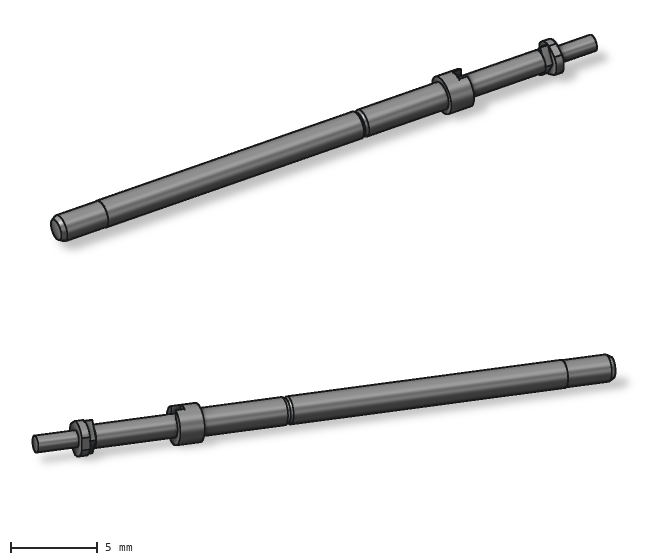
import cadquery as cq
import math

overall_length = 35.5
flange_start = 2.5
flange_end = 3.0
key_end = 3.5
collar_start = 8.5
collar_end = 10.0
groove_start = 15.25
groove_bottom = 15.45
groove_end = 15.6
tail_length = 3.0
tail_chamfer_length = 0.3

tip_diameter = 1.0
flange_diameter = 2.1
neck_diameter = 1.38
collar_diameter = 2.3
body_diameter = 1.65
groove_diameter = 1.47
tail_diameter = 1.6
tail_end_diameter = 1.25

flat_count = 3
flat_width = 0.75
first_flat_angle = 60.0

key_width = 1.26
key_tip_diameter = 2.05
key_side_slope = 60.0

notch_width = 0.75
notch_length = 0.55

tip_y = overall_length / 2
tail_start = overall_length - tail_length
chamfer_start = overall_length - tail_chamfer_length


def cross_section(start):
    """Workplane across the pin; extruding runs towards the tail, local axes follow X and Z."""
    return cq.Workplane("XZ", origin=(0, tip_y - start, 0))


def cylinder(start, end, diameter):
    return cross_section(start).circle(diameter / 2).extrude(end - start)


def make_flange():
    flange = cylinder(flange_start, flange_end, flange_diameter)
    flange_radius = flange_diameter / 2
    flat_distance = math.sqrt(flange_radius**2 - (flat_width / 2) ** 2)
    thickness = flange_end - flange_start
    for index in range(flat_count):
        angle = first_flat_angle + index * 360 / flat_count
        cutter = (
            cross_section(flange_start)
            .transformed(rotate=(0, 0, angle))
            .center(flat_distance + flange_radius / 2, 0)
            .rect(flange_radius, flange_diameter)
            .extrude(thickness)
        )
        flange = flange.cut(cutter)
    return flange


def make_key():
    """Diamond prism whose sharp top and bottom are rounded off to a common diameter."""
    half_width = key_width / 2
    half_height = half_width * math.tan(math.radians(key_side_slope))
    corners = [(half_width, 0), (0, half_height), (-half_width, 0), (0, -half_height)]
    diamond = cross_section(flange_end).polyline(corners).close().extrude(key_end - flange_end)
    return diamond.intersect(cylinder(flange_end, key_end, key_tip_diameter))


def make_collar():
    """Collar with a notch cut down to the neck surface."""
    collar = cylinder(collar_start, collar_end, collar_diameter)
    notch_height = collar_diameter / 2
    notch = (
        cross_section(collar_start)
        .center(0, notch_height / 2)
        .rect(notch_width, notch_height)
        .extrude(notch_length)
    )
    return collar.cut(notch.cut(cylinder(collar_start, collar_end, neck_diameter)))


def make_body():
    """Turned barrel with a retaining groove, a slightly reduced tail and a chamfered end."""
    stations = [
        (collar_end, body_diameter),
        (groove_start, body_diameter),
        (groove_bottom, groove_diameter),
        (groove_end, body_diameter),
        (tail_start, body_diameter),
        (tail_start, tail_diameter),
        (chamfer_start, tail_diameter),
        (overall_length, tail_end_diameter),
    ]
    rim = [(diameter / 2, tip_y - distance) for distance, diameter in stations]
    profile = [(0, tip_y - collar_end)] + rim + [(0, tip_y - overall_length)]
    return cq.Workplane("XY").polyline(profile).close().revolve(360, (0, 0, 0), (0, 1, 0))


result = (
    cylinder(0, flange_start, tip_diameter)
    .union(make_flange())
    .union(make_key())
    .union(cylinder(key_end, collar_start, neck_diameter))
    .union(make_collar())
    .union(make_body())
)